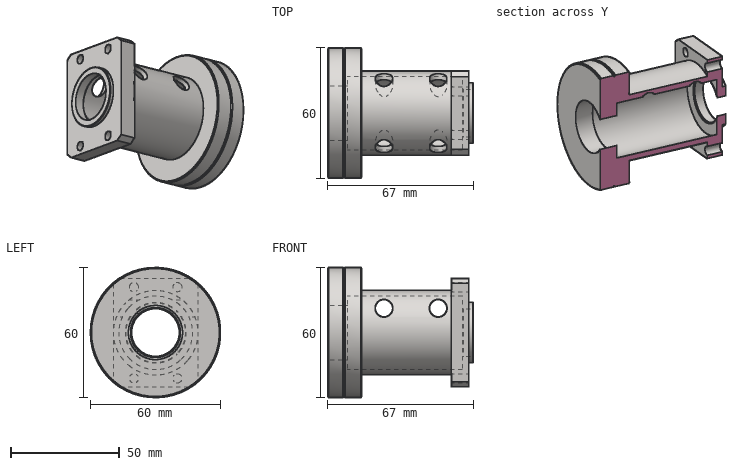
import cadquery as cq

length = 67.0
groove_x = 7.6
flange_end = 15.75
plate_start = 57.0
plate_end = 65.05

flange_diameter = 60.0
tube_diameter = 39.0
spigot_diameter = 28.0
entry_bore_diameter = 25.0
cavity_diameter = 34.0
exit_bore_diameter = 22.0

flange_chamfer = 0.55
spigot_chamfer = 0.3
exit_bore_chamfer = 0.5

entry_bore_depth = 9.0
cavity_end = 62.0

plate_height = 50.0
plate_width = tube_diameter
corner_cut_y = 2.8
corner_cut_z = 2.2
bolt_hole_diameter = 4.2
bolt_spacing_y = 20.0
bolt_spacing_z = 42.0

cross_hole_diameter = 8.0
cross_hole_z = 11.2
cross_hole_stations = (25.9, 50.9)


def cylinder(diameter, start, end):
    """Solid cylinder on the X axis between two stations."""
    return cq.Workplane("YZ").workplane(offset=start).circle(diameter / 2).extrude(end - start)


def make_flange():
    """Two discs with chamfered rims that meet in a V groove."""
    front_disc = cylinder(flange_diameter, 0, groove_x).edges().chamfer(flange_chamfer)
    rear_disc = cylinder(flange_diameter, groove_x, flange_end).edges().chamfer(flange_chamfer)
    return front_disc.union(rear_disc)


def make_plate():
    """Rectangular plate with four cut corners and four bolt holes."""
    half_y = plate_width / 2
    half_z = plate_height / 2
    flat_y = half_y - corner_cut_y
    flat_z = half_z - corner_cut_z
    outline = [
        (flat_y, half_z), (half_y, flat_z), (half_y, -flat_z), (flat_y, -half_z),
        (-flat_y, -half_z), (-half_y, -flat_z), (-half_y, flat_z), (-flat_y, half_z),
    ]
    plane = cq.Workplane("YZ").workplane(offset=plate_start)
    plate = plane.polyline(outline).close().extrude(plate_end - plate_start)
    bolt_holes = (
        plane.rarray(bolt_spacing_y, bolt_spacing_z, 2, 2)
        .circle(bolt_hole_diameter / 2)
        .extrude(plate_end - plate_start)
    )
    return plate.cut(bolt_holes)


def make_bore():
    """Stepped bore: entry, wide cavity, then a narrower exit with a chamfered mouth."""
    exit_radius = exit_bore_diameter / 2
    exit_bore = cylinder(exit_bore_diameter, cavity_end, length)
    exit_mouth = (
        cq.Workplane("XY")
        .moveTo(cavity_end, 0)
        .lineTo(cavity_end, exit_radius + exit_bore_chamfer)
        .lineTo(cavity_end + exit_bore_chamfer, exit_radius)
        .lineTo(cavity_end + exit_bore_chamfer, 0)
        .close()
        .revolve(360, (0, 0, 0), (1, 0, 0))
    )
    entry_bore = cylinder(entry_bore_diameter, 0, entry_bore_depth)
    cavity = cylinder(cavity_diameter, entry_bore_depth, cavity_end)
    return entry_bore.union(cavity).union(exit_bore).union(exit_mouth)


def make_cross_holes():
    """Holes along Y, above the axis of the tube."""
    centres = [(x, cross_hole_z) for x in cross_hole_stations]
    plane = cq.Workplane("XZ").pushPoints(centres)
    return plane.circle(cross_hole_diameter / 2).extrude(tube_diameter / 2, both=True)


tube = cylinder(tube_diameter, flange_end, plate_start)
spigot = cylinder(spigot_diameter, plate_end, length).faces(">X").edges().chamfer(spigot_chamfer)

body = make_flange().union(tube).union(make_plate()).union(spigot)
result = body.cut(make_bore()).cut(make_cross_holes())